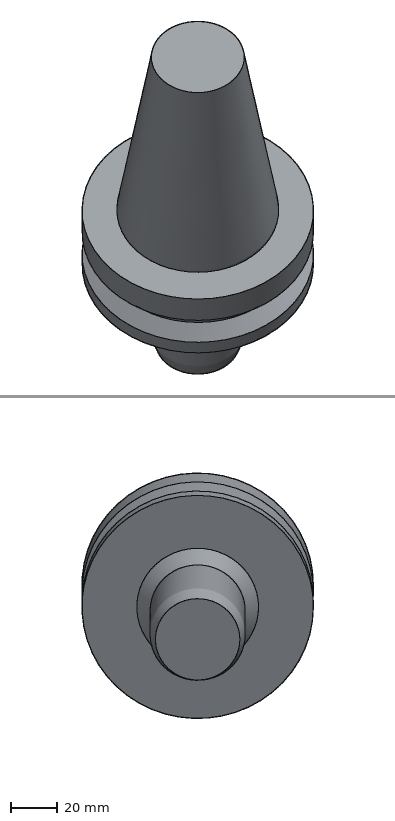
import cadquery as cq

total_height = 191.8
taper_base_height = 89.8
flange_top = 88.6
groove_upper_edge = 74.2
groove_floor_top = 70.2
groove_floor_bottom = 63.9
groove_lower_edge = 59.5
flange_bottom = 52.4
collar_bottom = 46.2
nose_chamfer_height = 7.9

flange_diameter = 100.0
groove_diameter = 85.0
taper_base_diameter = 69.8
taper_tip_diameter = 40.0
collar_diameter = 52.5
shank_diameter = 41.0
nose_tip_diameter = 36.5

profile = [
    (0, 0),
    (nose_tip_diameter, 0),
    (shank_diameter, nose_chamfer_height),
    (shank_diameter, collar_bottom),
    (collar_diameter, flange_bottom),
    (flange_diameter, flange_bottom),
    (flange_diameter, groove_lower_edge),
    (groove_diameter, groove_floor_bottom),
    (groove_diameter, groove_floor_top),
    (flange_diameter, groove_upper_edge),
    (flange_diameter, flange_top),
    (taper_base_diameter, flange_top),
    (taper_base_diameter, taper_base_height),
    (taper_tip_diameter, total_height),
    (0, total_height),
]

result = (
    cq.Workplane("XZ")
    .polyline([(diameter / 2, height) for diameter, height in profile])
    .close()
    .revolve(360, (0, 0, 0), (0, 1, 0))
)